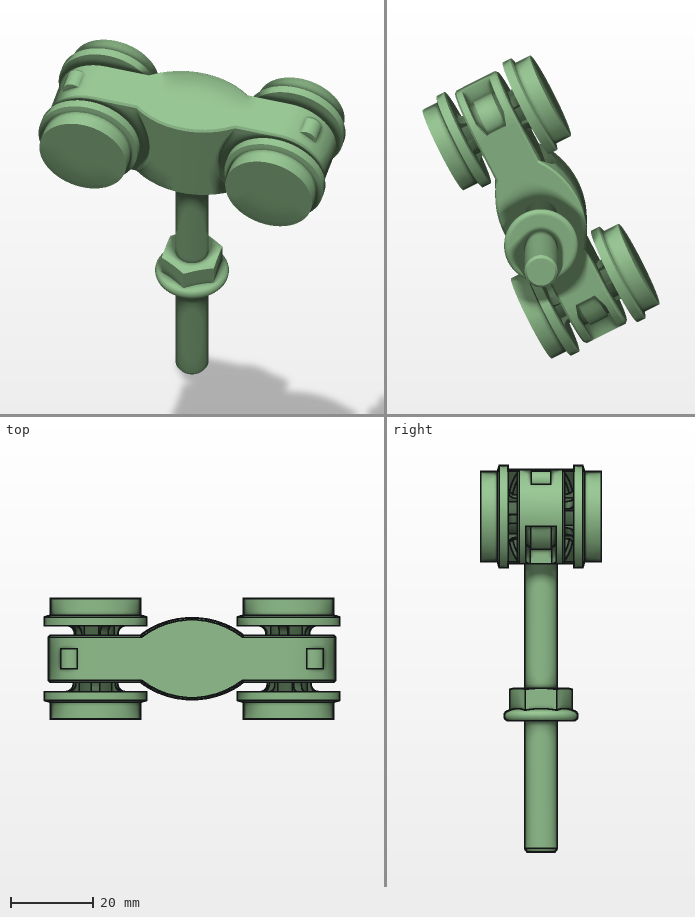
import cadquery as cq
import math


axle_offset = 23.5
body_radius = 11.5
body_half_width = 5.75
edge_chamfer = 0.5
bulge_half_width = 10.0
bulge_half_length = 12.5
wheel_clearance_radius = 14.8
clearance_chamfer = 0.6

pin_radius = 2.5
pin_length = 4.8
pin_axis_radius = 10.5
pin_angle = 55.0

pocket_floor_radius = 8.0
pocket_floor_width = 4.9
pocket_groove_radius = 7.4
pocket_top = -2.3
pocket_mouth_width = 7.5
pocket_taper_length = 3.5
pocket_inner_width = 5.2

tread_radius = 11.0
flange_radius = 12.5
flange_inner_y = 8.0
flange_rim_y = 10.15
tread_inner_y = 10.6
wheel_outer_y = 14.7
hub_radius = 4.6
fin_count = 5
fin_width = 2.1
fin_radius = 5.5
fin_flare_radius = 1.8

rod_radius = 4.0
rod_bottom = -81.7
rod_tip_radius = 3.4
rod_tip_height = 0.9

nut_bottom = -49.75
nut_top = -41.8
nut_across_flats = 13.2
nut_chamfer_angle = 15.0
nut_flange_radius = 9.0
nut_rim_radius = 1.25
nut_flange_slope = 20.0


def make_beam():
    """Flat stadium-shaped beam joining the two axles, with chamfered side outlines."""
    beam = (
        cq.Workplane("XZ")
        .slot2D(2 * (axle_offset + body_radius), 2 * body_radius)
        .extrude(body_half_width, both=True)
    )
    return beam.faces("<Y or >Y").chamfer(edge_chamfer)


def make_bulge():
    """Barrel-shaped swelling on the -Y side of the beam, hollowed to clear the wheels."""
    bulge = (
        cq.Workplane("XY")
        .moveTo(-bulge_half_length, 0)
        .lineTo(-bulge_half_length, -body_half_width)
        .threePointArc((0, -bulge_half_width), (bulge_half_length, -body_half_width))
        .lineTo(bulge_half_length, 0)
        .close()
        .extrude(body_radius, both=True)
    )
    clearance = (
        cq.Workplane("XZ", origin=(0, -body_half_width, 0))
        .pushPoints([(-axle_offset, 0), (axle_offset, 0)])
        .circle(wheel_clearance_radius)
        .extrude(bulge_half_width)
    )
    bulge = bulge.cut(clearance)
    bulge = bulge.edges("%BSPLINE").chamfer(clearance_chamfer)
    return bulge.faces("<Z or >Z").edges("%CIRCLE").chamfer(edge_chamfer)


def make_end_pin():
    """Short pin along Y that stands proud of the -X end of the body."""
    angle = math.radians(pin_angle)
    pin_x = -axle_offset - pin_axis_radius * math.cos(angle)
    pin_z = pin_axis_radius * math.sin(angle)
    return (
        cq.Workplane("XZ", origin=(pin_x, 0, pin_z))
        .circle(pin_radius)
        .extrude(pin_length / 2, both=True)
    )


def make_end_pocket():
    """Pocket under the -X end; its round floor about the wheel axis has a groove along each side."""
    mouth_x = -axle_offset - body_radius
    pocket = (
        cq.Workplane("XY", origin=(0, 0, pocket_top))
        .moveTo(mouth_x, -pocket_mouth_width / 2)
        .lineTo(-axle_offset - pocket_taper_length, -pocket_mouth_width / 2)
        .lineTo(-axle_offset, -pocket_inner_width / 2)
        .lineTo(-axle_offset, pocket_inner_width / 2)
        .lineTo(-axle_offset - pocket_taper_length, pocket_mouth_width / 2)
        .lineTo(mouth_x, pocket_mouth_width / 2)
        .close()
        .extrude(-body_radius)
    )
    axle = cq.Workplane("XZ", origin=(-axle_offset, 0, 0))
    groove_floor = axle.circle(pocket_groove_radius).extrude(pocket_mouth_width / 2, both=True)
    middle_floor = axle.circle(pocket_floor_radius).extrude(pocket_floor_width / 2, both=True)
    return pocket.cut(groove_floor).cut(middle_floor)


def make_wheel():
    """Wheel about the Z axis; its hub starts at the body side, which is at Z = body_half_width."""
    profile = (
        cq.Workplane("XZ")
        .moveTo(0, body_half_width)
        .lineTo(hub_radius, body_half_width)
        .lineTo(hub_radius, flange_inner_y)
        .lineTo(flange_radius, flange_inner_y)
        .lineTo(flange_radius, flange_rim_y)
        .lineTo(tread_radius, tread_inner_y)
        .lineTo(tread_radius, wheel_outer_y)
        .lineTo(0, wheel_outer_y)
        .close()
    )
    wheel = profile.revolve(360, (0, 0, 0), (0, 1, 0))
    flare_ring = (
        cq.Workplane("XZ")
        .moveTo(0, body_half_width)
        .lineTo(fin_radius, body_half_width)
        .lineTo(fin_radius, flange_inner_y - fin_flare_radius)
        .radiusArc((fin_radius + fin_flare_radius, flange_inner_y), fin_flare_radius)
        .lineTo(0, flange_inner_y)
        .close()
        .revolve(360, (0, 0, 0), (0, 1, 0))
    )
    fin_blank = (
        cq.Workplane("XY")
        .center(flange_radius / 2, 0)
        .rect(flange_radius, fin_width)
        .extrude(flange_inner_y)
    )
    fin = flare_ring.intersect(fin_blank)
    for index in range(fin_count):
        wheel = wheel.union(fin.rotate((0, 0, 0), (0, 0, 1), index * 360 / fin_count))
    return wheel


def place_wheel(wheel, side_x, side_y, fin_tilt):
    """Mount a wheel with one fin leaning fin_tilt degrees from +Z toward +X."""
    upright = wheel.rotate((0, 0, 0), (1, 0, 0), -90 * side_y)
    turned = upright.rotate((0, 0, 0), (0, 1, 0), fin_tilt - 90)
    return turned.translate((side_x * axle_offset, 0, 0))


def make_rod():
    return (
        cq.Workplane("XZ")
        .moveTo(0, 0)
        .lineTo(rod_radius, 0)
        .lineTo(rod_radius, rod_bottom + rod_tip_height)
        .lineTo(rod_tip_radius, rod_bottom)
        .lineTo(0, rod_bottom)
        .close()
        .revolve(360, (0, 0, 0), (0, 1, 0))
    )


def make_nut():
    """Hex nut with chamfered top corners on a sloping washer flange with a round rim."""
    corner_radius = nut_across_flats / math.sqrt(3)
    flat_radius = nut_across_flats / 2
    chamfer_slope = math.tan(math.radians(nut_chamfer_angle))
    chamfer_drop = (nut_flange_radius - flat_radius) * chamfer_slope
    hexagon = (
        cq.Workplane("XY", origin=(0, 0, nut_bottom))
        .polygon(6, 2 * corner_radius)
        .extrude(nut_top - nut_bottom)
        .rotate((0, 0, 0), (0, 0, 1), 30)
    )
    corner_trim = (
        cq.Workplane("XZ")
        .moveTo(0, nut_bottom)
        .lineTo(nut_flange_radius, nut_bottom)
        .lineTo(nut_flange_radius, nut_top - chamfer_drop)
        .lineTo(flat_radius, nut_top)
        .lineTo(0, nut_top)
        .close()
        .revolve(360, (0, 0, 0), (0, 1, 0))
    )
    slope = math.radians(nut_flange_slope)
    rim_x = nut_flange_radius - nut_rim_radius
    rim_z = nut_bottom + nut_rim_radius
    slope_start_x = rim_x + nut_rim_radius * math.sin(slope)
    slope_start_z = rim_z + nut_rim_radius * math.cos(slope)
    slope_end_z = slope_start_z + (slope_start_x - rod_radius) * math.tan(slope)
    washer = (
        cq.Workplane("XZ")
        .moveTo(0, nut_bottom)
        .lineTo(rim_x, nut_bottom)
        .threePointArc((nut_flange_radius, rim_z), (slope_start_x, slope_start_z))
        .lineTo(rod_radius, slope_end_z)
        .lineTo(0, slope_end_z)
        .close()
        .revolve(360, (0, 0, 0), (0, 1, 0))
    )
    return hexagon.intersect(corner_trim).union(washer)


bulge = make_bulge()
end_pin = make_end_pin()
end_pocket = make_end_pocket()
result = make_beam().union(bulge).union(bulge.mirror("XZ"))
result = result.union(end_pin).union(end_pin.mirror("YZ"))
result = result.cut(end_pocket).cut(end_pocket.mirror("YZ"))
result = result.union(make_rod()).union(make_nut())

wheel = make_wheel()
for side_x, side_y, fin_tilt in [(-1, -1, 0), (-1, 1, 23), (1, 1, -13), (1, -1, 24)]:
    result = result.union(place_wheel(wheel, side_x, side_y, fin_tilt))